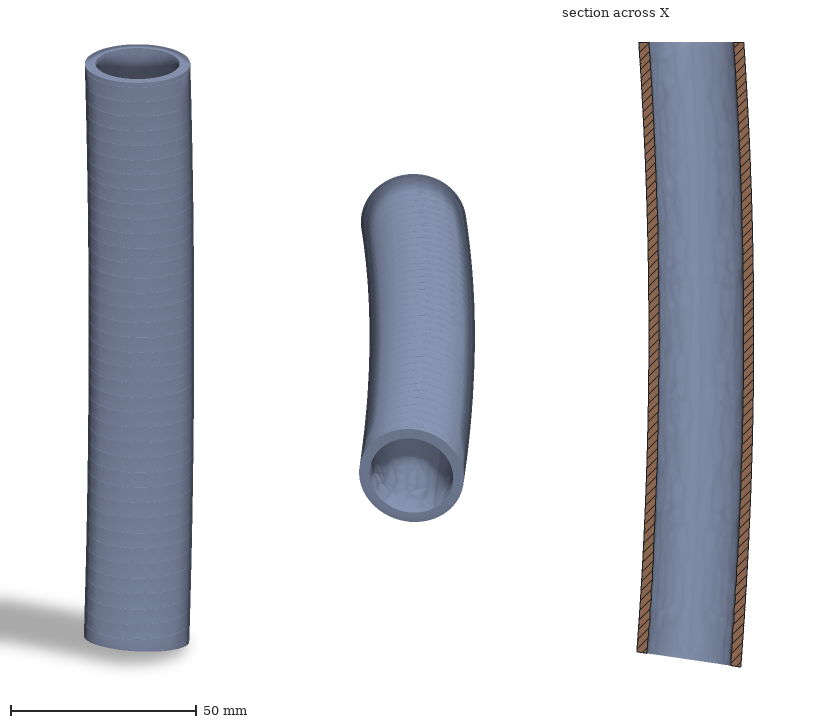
import cadquery as cq

height = 168.8
outer_diameter = 28.5
inner_diameter = 22.8
outer_radius = outer_diameter / 2
inner_radius = inner_diameter / 2

bow_offset = 2.7
foot_offset = -0.7
foot_rise = 2.0

groove_count = 39
first_groove_drop = 1.4
last_groove_drop = 166.0
groove_pitch = (last_groove_drop - first_groove_drop) / (groove_count - 1)
groove_width = 0.1
groove_depth = 0.2
cutter_overhang = 1.7

centreline = cq.Workplane("YZ").spline([
    (0, height),
    (bow_offset, height / 2),
    (foot_offset, foot_rise),
])


def bowed_cylinder(radius):
    """Circle of two half arcs, level at the top, swept down the centreline."""
    return (
        cq.Workplane("XY", origin=(0, 0, height))
        .moveTo(-radius, 0)
        .threePointArc((0, radius), (radius, 0))
        .threePointArc((0, -radius), (-radius, 0))
        .close()
        .sweep(centreline)
    )


def groove_cutter(drop):
    """Flat ring around the centreline, a given drop below the top face."""
    centre_y = centreline.val().positionAt(drop / (height - foot_rise)).y
    return (
        cq.Workplane("XY", origin=(0, centre_y, height - drop - groove_width / 2))
        .circle(outer_radius + cutter_overhang)
        .circle(outer_radius - groove_depth)
        .extrude(groove_width)
        .val()
    )


drops = [first_groove_drop + i * groove_pitch for i in range(groove_count)]
grooved_rod = bowed_cylinder(outer_radius).val().cut(*[groove_cutter(drop) for drop in drops])
bored_tube = grooved_rod.cut(bowed_cylinder(inner_radius).val())
result = cq.Workplane(bored_tube.Solids()[0])